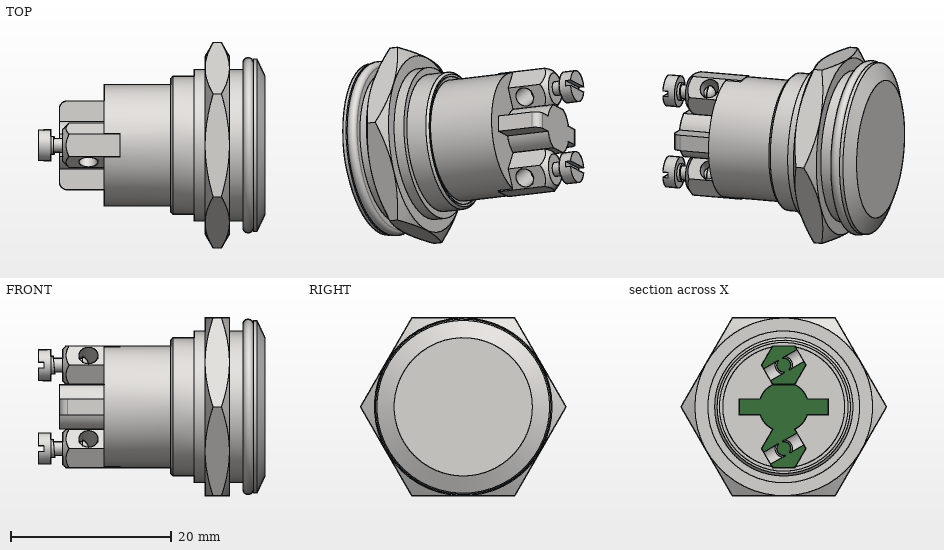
import cadquery as cq
import math


barrel_rear_x = 8.2
barrel_radius = 7.6
collar_rear_x = 16.5
collar_radius = 8.63
collar_chamfer = 0.3
collar_recess_radius = 8.03
collar_recess_depth = 0.15

thread_rear_x = 19.44
thread_radius = 9.48
flange_rear_x = 26.82
flange_cone_x = 27.27
flange_radius = 10.78
front_x = 28.3
front_radius = 8.63

boss_rear_x = 2.6
boss_radius = 3.1
boss_flat_height = 2.77
blade_thickness = 1.98
blade_span = 11.12
blade_corner_radius = 1.02

post_across_flats = 4.8
post_offset = barrel_radius - post_across_flats / 2
post_rear_x = 3.03
post_front_x = 10.2
post_end_radius = 1.98
wire_hole_radius = 1.2
wire_hole_x = 6.25
wire_hole_tilt = 30

head_radius = 1.95
head_length = 1.55
slot_width = 0.68
slot_depth = 0.68
step_radius = 1.13
step_length = 0.4
step_slant = 5
shank_radius = 0.88
shank_end_x = 5.52
tip_sphere_radius = 1.15
tip_sphere_x = 5.1

nut_rear_x = 20.8
nut_width = 3.05
nut_across_flats = 22.25
nut_face_radius = 11.1
nut_chamfer_angle = 30

ring_width = 1.3
ring_outer_radius = 10.95


def hexagon_diameter(across_flats):
    """Corner-to-corner diameter of a regular hexagon."""
    return across_flats / math.cos(math.radians(30))


def along_x(x):
    """Workplane facing +X with its origin on the X axis; local axes are Y and Z."""
    return cq.Workplane("YZ", origin=(x, 0, 0))


def turned(outline):
    """Solid of revolution about the X axis from (x, radius) points that end on the axis."""
    return cq.Workplane("XY").polyline(outline).close().revolve(360, (0, 0, 0), (1, 0, 0))


def make_shell():
    """Barrel, collar, threaded bushing and flange, with a shallow recess round the barrel."""
    recess_floor_x = collar_rear_x + collar_recess_depth
    return turned([
        (barrel_rear_x, 0),
        (barrel_rear_x, barrel_radius),
        (recess_floor_x, barrel_radius),
        (recess_floor_x, collar_recess_radius),
        (collar_rear_x, collar_recess_radius),
        (collar_rear_x, collar_radius - collar_chamfer),
        (collar_rear_x + collar_chamfer, collar_radius),
        (thread_rear_x, collar_radius),
        (thread_rear_x, thread_radius),
        (flange_rear_x, thread_radius),
        (flange_rear_x, flange_radius),
        (flange_cone_x, flange_radius),
        (front_x, front_radius),
        (front_x, 0),
    ])


def make_boss():
    """Round boss with flats above and below, crossed by a blade with rounded rear corners."""
    length = barrel_rear_x - boss_rear_x
    core = along_x(boss_rear_x).circle(boss_radius).extrude(length)
    flats = along_x(boss_rear_x).rect(2 * boss_radius, 2 * boss_flat_height).extrude(length)
    blade = along_x(boss_rear_x).rect(blade_span, blade_thickness).extrude(length)
    blade = blade.faces("<X").edges("|Z").fillet(blade_corner_radius)
    return core.intersect(flats).union(blade)


def make_post():
    """Hexagonal post on the X axis with a chamfered rear end and a tilted wire hole."""
    post_length = post_front_x - post_rear_x
    post = along_x(post_rear_x).polygon(6, hexagon_diameter(post_across_flats)).extrude(post_length)
    chamfer_envelope = turned([
        (post_rear_x, 0),
        (post_rear_x, post_end_radius),
        (post_front_x, post_end_radius + post_length),
        (post_front_x, 0),
    ])
    wire_hole = (
        cq.Workplane("XZ", origin=(wire_hole_x, 0, 0))
        .circle(wire_hole_radius)
        .extrude(post_across_flats, both=True)
        .rotate((0, 0, 0), (1, 0, 0), -wire_hole_tilt)
    )
    return post.intersect(chamfer_envelope).cut(wire_hole)


def make_screw():
    """Slotted screw on the X axis: head, slanted step, shank and a domed tip in the wire hole."""
    head = along_x(0).circle(head_radius).extrude(head_length)
    slot = along_x(0).rect(2 * head_radius, slot_width).extrude(slot_depth)
    slant_rise = head_radius * math.tan(math.radians(step_slant))
    step_side = (
        cq.Workplane("XZ")
        .polyline([
            (head_length, -head_radius),
            (head_length + step_length + slant_rise, -head_radius),
            (head_length + step_length - slant_rise, head_radius),
            (head_length, head_radius),
        ])
        .close()
        .extrude(head_radius, both=True)
    )
    step = along_x(head_length).circle(step_radius).extrude(2 * step_length).intersect(step_side)
    shank = along_x(head_length).circle(shank_radius).extrude(shank_end_x - head_length)
    rim_radius = math.sqrt(tip_sphere_radius**2 - (shank_end_x - tip_sphere_x) ** 2)
    tip = (
        cq.Workplane("XY")
        .moveTo(shank_end_x, 0)
        .lineTo(shank_end_x, rim_radius)
        .radiusArc((tip_sphere_x + tip_sphere_radius, 0), tip_sphere_radius)
        .close()
        .revolve(360, (0, 0, 0), (1, 0, 0))
    )
    return head.cut(slot).union(step).union(shank).union(tip)


def make_switch():
    """Shell and boss with a terminal post and its screw above and below the axis."""
    switch = make_shell().union(make_boss())
    terminal = make_post().union(make_screw())
    for side in (1, -1):
        switch = switch.union(terminal.translate((0, 0, side * post_offset)))
    return switch


def make_nut():
    """Hexagonal nut with both faces chamfered to a round land."""
    half_width = nut_width / 2
    ridge_radius = nut_face_radius + half_width / math.tan(math.radians(nut_chamfer_angle))
    nut_front_x = nut_rear_x + nut_width
    chamfer_envelope = turned([
        (nut_rear_x, 0),
        (nut_rear_x, nut_face_radius),
        (nut_rear_x + half_width, ridge_radius),
        (nut_front_x, nut_face_radius),
        (nut_front_x, 0),
    ])
    blank = along_x(nut_rear_x).polygon(6, hexagon_diameter(nut_across_flats)).extrude(nut_width)
    bore = along_x(nut_rear_x).circle(thread_radius).extrude(nut_width)
    return blank.intersect(chamfer_envelope).cut(bore)


def make_sealing_ring():
    """Flat-faced ring with a fully rounded rim, seated on the thread against the flange."""
    ring_rear_x = flange_rear_x - ring_width
    rim_start_radius = ring_outer_radius - ring_width / 2
    return (
        cq.Workplane("XY")
        .moveTo(ring_rear_x, thread_radius)
        .lineTo(ring_rear_x, rim_start_radius)
        .threePointArc((flange_rear_x - ring_width / 2, ring_outer_radius), (flange_rear_x, rim_start_radius))
        .lineTo(flange_rear_x, thread_radius)
        .close()
        .revolve(360, (0, 0, 0), (1, 0, 0))
    )


switch = make_switch()
nut = make_nut()
sealing_ring = make_sealing_ring()

result = cq.Compound.makeCompound([switch.val(), nut.val(), sealing_ring.val()])